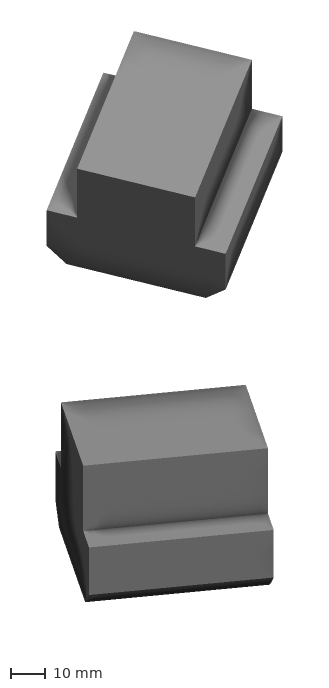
import cadquery as cq

base_width = 54.0
length = 54.0
total_height = 44.0
base_height = total_height / 2
stem_width = 35.6
chamfer_size = 6.0

base = cq.Workplane("XY").box(base_width, length, base_height, centered=(True, True, False))

base = base.faces("<Z").edges("|Y").chamfer(chamfer_size)

stem = cq.Workplane("XY").box(stem_width, length, total_height, centered=(True, True, False))

result = base.union(stem).clean()